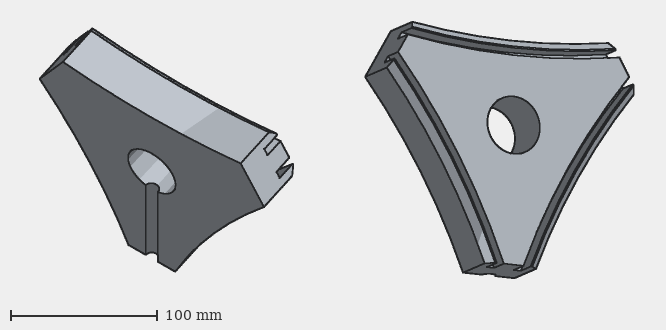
import cadquery as cq
import math

overall_width = 188.4
thickness = 38.0
tip_width = 39.2
side_sag = 5.7
side_chamfer = 5.0
bore_diameter = 40.0
channel_diameter = 10.0
groove_inset = 6.2
groove_width = 5.0
groove_depth = 15.0

arm_count = 3
arm_angle = 360.0 / arm_count
half_tip = tip_width / 2
half_angle = math.radians(arm_angle / 2)
tip_distance = (overall_width / 2 - half_tip * math.cos(half_angle)) / math.sin(half_angle)
corner_height = tip_distance * math.cos(half_angle) + half_tip * math.sin(half_angle)
half_chord = tip_distance * math.sin(half_angle) - half_tip * math.cos(half_angle)
side_radius = (half_chord**2 + side_sag**2) / (2 * side_sag)
side_center_z = corner_height - side_sag + side_radius


def rotated(shape, arm):
    return shape.rotate((0, 0, 0), (0, 1, 0), arm * arm_angle)


def make_blank():
    """Plate with three flat tips joined by concave arcs."""
    def turned(x, z, arm):
        angle = math.radians(arm * arm_angle)
        return (
            x * math.cos(angle) - z * math.sin(angle),
            x * math.sin(angle) + z * math.cos(angle),
        )

    outline = cq.Workplane("XZ").moveTo(-half_tip, -tip_distance)
    for arm in range(arm_count):
        side_middle = turned(0, corner_height - side_sag, arm - 1)
        outline = outline.lineTo(*turned(half_tip, -tip_distance, arm))
        outline = outline.threePointArc(side_middle, turned(-half_tip, -tip_distance, arm + 1))
    return outline.close().extrude(-thickness)


def side_chamfer_cutter():
    """Cone about the axis of the top concave side, widening to the back face."""
    profile = [
        (side_radius, thickness - side_chamfer),
        (side_radius + side_chamfer, thickness),
        (0, thickness),
        (0, thickness - side_chamfer),
    ]
    cone = cq.Workplane("XY").polyline(profile).close().revolve(360, (0, 0, 0), (0, 1, 0))
    return cone.translate((0, 0, side_center_z))


def side_groove_cutter():
    """Ring concentric with the top concave side, open to the back face."""
    inner_radius = side_radius + groove_inset
    ring = (
        cq.Workplane("XZ", origin=(0, thickness - groove_depth, 0))
        .center(0, side_center_z)
        .circle(inner_radius + groove_width)
        .circle(inner_radius)
        .extrude(-groove_depth)
    )
    stretch = cq.Workplane("XY").box(overall_width, 2 * thickness, 2 * corner_height)
    return ring.intersect(stretch)


result = make_blank()

for arm in range(arm_count):
    result = result.cut(rotated(side_chamfer_cutter(), arm))
    result = result.cut(rotated(side_groove_cutter(), arm))

bore = cq.Workplane("XZ").circle(bore_diameter / 2).extrude(-thickness)
result = result.cut(bore)

channel = cq.Workplane("XY").circle(channel_diameter / 2).extrude(-tip_distance)
result = result.cut(channel)